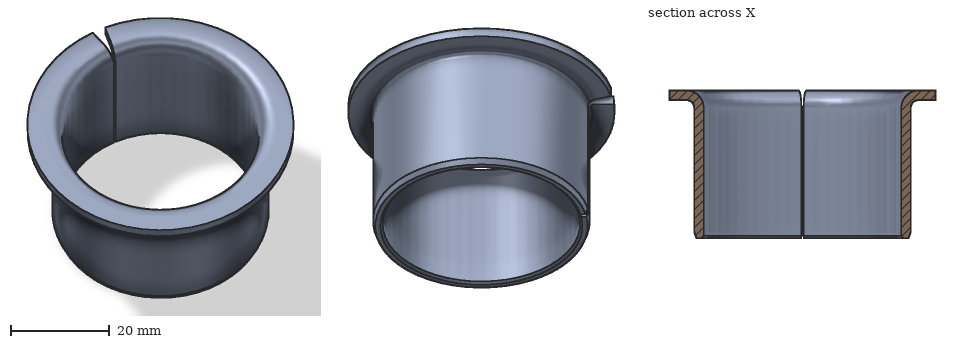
import cadquery as cq
import math

bore_radius = 20.0
wall = 2.0
length = 30.0
flange_radius = 27.0

bend_outer_radius = 1.5
bend_inner_radius = bend_outer_radius + wall

lead_in_height = 1.3
lead_in_angle = 20.0
bore_chamfer = 0.5

split_width_at_bore = 0.4
split_half_angle = 10.0

sleeve_radius = bore_radius + wall
bend_center_radius = sleeve_radius + bend_outer_radius
bend_center_z = length - bend_inner_radius
flange_bottom_z = length - wall


def bend_midpoint(radius):
    """Point halfway along a quarter bend arc of the given radius."""
    offset = radius * math.sqrt(0.5)
    return (bend_center_radius - offset, bend_center_z + offset)


def make_bushing():
    """Revolve the wall section, drawn as (radius, height), about Z, with its seam on the split side."""
    lead_in_depth = lead_in_height * math.tan(math.radians(lead_in_angle))
    return (
        cq.Workplane("XZ")
        .moveTo(bore_radius + bore_chamfer, 0)
        .lineTo(sleeve_radius - lead_in_depth, 0)
        .lineTo(sleeve_radius, lead_in_height)
        .lineTo(sleeve_radius, bend_center_z)
        .threePointArc(bend_midpoint(bend_outer_radius), (bend_center_radius, flange_bottom_z))
        .lineTo(flange_radius, flange_bottom_z)
        .lineTo(flange_radius, length)
        .lineTo(bend_center_radius, length)
        .threePointArc(bend_midpoint(bend_inner_radius), (bore_radius, bend_center_z))
        .lineTo(bore_radius, bore_chamfer)
        .close()
        .revolve(360, (0, 0, 0), (0, 1, 0))
        .rotate((0, 0, 0), (0, 0, 1), 180)
    )


def make_split():
    """Full-height wedge that narrows from beyond the flange to a tip inside the bore."""
    taper = math.tan(math.radians(split_half_angle))
    tip_radius = bore_radius - split_width_at_bore / 2 / taper
    outer_radius = flange_radius + wall
    outer_half_width = (outer_radius - tip_radius) * taper
    return (
        cq.Workplane("XY")
        .moveTo(-tip_radius, 0)
        .lineTo(-outer_radius, outer_half_width)
        .lineTo(-outer_radius, -outer_half_width)
        .close()
        .extrude(length)
    )


result = make_bushing().cut(make_split())